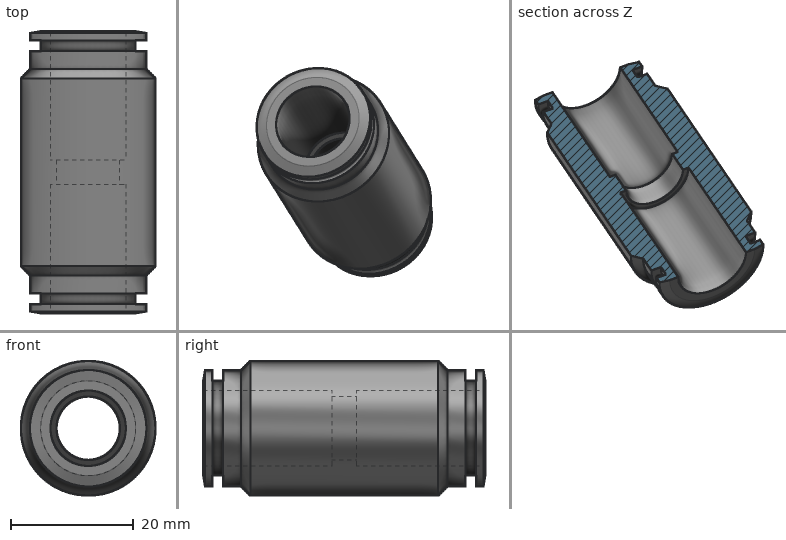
import cadquery as cq


total_length = 46.0
lip_cone_length = 0.3
lip_length = 1.5
neck_length = 1.75
collar_length = 2.95
socket_depth = 21.0

body_diameter = 22.0
collar_diameter = 19.0
neck_diameter = 15.5
socket_diameter = 12.3
through_diameter = 10.3

body_taper_length = (body_diameter - collar_diameter) / 2

end_y = total_length / 2
lip_edge_y = end_y - lip_cone_length
lip_back_y = end_y - lip_length
collar_end_y = lip_back_y - neck_length
taper_end_y = collar_end_y - collar_length
taper_start_y = taper_end_y - body_taper_length


def make_outside():
    """Revolve the outer profile, whose two ends mirror each other, about the Y axis."""
    body_radius = body_diameter / 2
    collar_radius = collar_diameter / 2
    neck_radius = neck_diameter / 2
    half_profile = [
        (body_radius, taper_start_y),
        (collar_radius, taper_end_y),
        (collar_radius, collar_end_y),
        (neck_radius, collar_end_y),
        (neck_radius, lip_back_y),
        (collar_radius, lip_back_y),
        (collar_radius, lip_edge_y),
        (neck_radius, end_y),
        (0, end_y),
    ]
    mirrored_half = [(radius, -y) for radius, y in reversed(half_profile)]
    profile = cq.Workplane("XY").polyline(mirrored_half + half_profile).close()
    return profile.revolve(axisStart=(0, 0, 0), axisEnd=(0, 1, 0))


def cut_bore(part):
    """Cut the through passage and a wider tube socket at each end."""
    part = part.faces(">Y").workplane(origin=(0, end_y, 0)).circle(through_diameter / 2).cutThruAll()
    for end in (">Y", "<Y"):
        part = part.faces(end).workplane(centerOption="CenterOfMass")
        part = part.circle(socket_diameter / 2).cutBlind(-socket_depth)
    return part


result = cut_bore(make_outside())